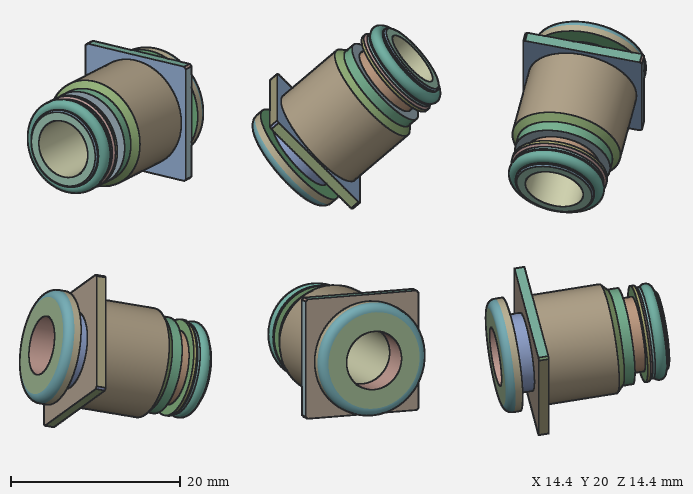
import cadquery as cq

overall_length = 20.03
bore_radius = 3.5

ring_section_radius = 0.751
ring_outer_radius = 5.77
ring_center_radius = ring_outer_radius - ring_section_radius
ring_center_y = 1.152

nose_radius = 4.77
nose_chamfer = 0.2
groove_start_y = ring_center_y - ring_section_radius
groove_end_y = ring_center_y + ring_section_radius
groove_floor_radius = ring_center_radius - ring_section_radius

collar_radius = 5.77
collar_step_radius = 5.49
collar_step_end_y = 2.22
collar_chamfer_end_y = collar_step_end_y + collar_radius - collar_step_radius
collar_end_y = 2.88

clip_groove_radius = 4.49
clip_groove_end_y = 4.4
shoulder_end_y = 5.69
barrel_radius = 6.55
barrel_start_y = shoulder_end_y + barrel_radius - collar_radius

plate_side = 14.4
plate_start_y = 15.1
plate_end_y = 16.3
plate_corner_chamfer = 0.26

button_neck_radius = 4.69
button_head_radius = 6.81
button_head_start_y = 18.15
button_rounding = 1.0


def revolve_about_y(profile):
    """Turn a closed (radius, y) profile through a full circle about the Y axis."""
    return profile.close().revolve(360, (0, 0, 0), (0, 1, 0))


def make_plate():
    """Square plate with chamfered corners and the through bore."""
    thickness = plate_end_y - plate_start_y
    plate = (
        cq.Workplane("XY")
        .box(plate_side, thickness, plate_side, centered=(True, False, True))
        .translate((0, plate_start_y, 0))
        .edges("|Y")
        .chamfer(plate_corner_chamfer)
    )
    bore = (
        cq.Workplane("XZ", origin=(0, plate_end_y, 0))
        .circle(bore_radius)
        .extrude(thickness)
    )
    return plate.cut(bore)


def make_housing():
    """Stepped hollow barrel in one piece with its square plate."""
    barrel_outline = [
        (bore_radius, 0),
        (nose_radius - nose_chamfer, 0),
        (nose_radius, nose_chamfer),
        (nose_radius, groove_start_y),
        (groove_floor_radius, groove_start_y),
        (groove_floor_radius, groove_end_y),
        (collar_step_radius, groove_end_y),
        (collar_step_radius, collar_step_end_y),
        (collar_radius, collar_chamfer_end_y),
        (collar_radius, collar_end_y),
        (clip_groove_radius, collar_end_y),
        (clip_groove_radius, clip_groove_end_y),
        (collar_radius, clip_groove_end_y),
        (collar_radius, shoulder_end_y),
        (barrel_radius, barrel_start_y),
        (barrel_radius, plate_start_y),
        (bore_radius, plate_start_y),
    ]
    barrel = revolve_about_y(cq.Workplane("XY").polyline(barrel_outline))
    return barrel.union(make_plate())


def make_o_ring():
    """Round-section ring seated in the nose groove."""
    return (
        cq.Workplane("XY")
        .center(ring_center_radius, ring_center_y)
        .circle(ring_section_radius)
        .revolve(360, (-ring_center_radius, 0, 0), (-ring_center_radius, 1, 0))
    )


def make_release_button():
    """Hollow button whose neck rests on the plate, with a rounded outer rim."""
    rounding_start_y = overall_length - button_rounding
    profile = (
        cq.Workplane("XY")
        .moveTo(bore_radius, plate_end_y)
        .lineTo(button_neck_radius, plate_end_y)
        .lineTo(button_neck_radius, button_head_start_y)
        .lineTo(button_head_radius, button_head_start_y)
        .lineTo(button_head_radius, rounding_start_y)
        .radiusArc((button_head_radius - button_rounding, overall_length), -button_rounding)
        .lineTo(bore_radius, overall_length)
    )
    return revolve_about_y(profile)


housing = make_housing()
o_ring = make_o_ring()
release_button = make_release_button()

result = cq.Compound.makeCompound([housing.val(), o_ring.val(), release_button.val()])